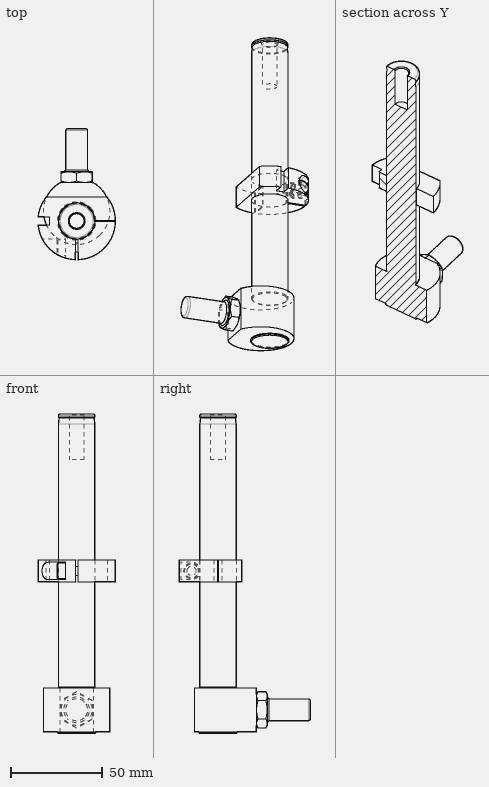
import cadquery as cq
import math

total_height = 174.9
post_dia = 20.0
post_radius = post_dia / 2
tip_rounding = 1.0
lip_depth = 1.6
neck_dia = 19.3
neck_depth = 2.3
neck_end_depth = 5.4
foot_chamfer = 0.5
bore_dia = 8.0
bore_mouth_dia = 9.2
bore_depth = 25.0

head_radius = 18.2
head_center_y = 5.3
head_height = 24.0
head_flat_y = 21.0
collet_dia = 21.0
collet_height = 1.0
collet_chamfer = 0.5

stud_dia = 12.0
stud_end_y = 50.5
stud_rounding = 1.0
hex_across_flats = 17.3
hex_thickness = 6.0
hex_chamfer_depth = 1.5
hex_chamfer_angle = 30.0
stud_flare = 1.0

collar_radius = 21.25
collar_height = 12.0
collar_bottom_z = 83.0
collar_flat_y = 13.0
clamp_slot_width = 1.5
split_width = 0.5
hinge_slot_width = 4.4
hinge_slot_end_x = -14.8

screw_y = -14.5
screw_dia = 5.0
screw_head_dia = 8.5
screw_head_length = 4.5
screw_head_chamfer = 0.5
screw_seat_x = -6.2
pocket_width = 9.5
screw_tip_x = 8.0

head_bottom_z = collet_height
head_top_z = head_bottom_z + head_height
stud_z = head_bottom_z + head_height / 2
screw_z = collar_bottom_z + collar_height / 2


def turned_along_y(profile):
    """Solid of revolution on the stud axis from (radius, y) points."""
    turned = cq.Workplane("XY").polyline(profile).close().revolve(360, (0, 0), (0, 1))
    return turned.translate((0, 0, stud_z))


def cylinder_along_x(diameter, start_x, end_x):
    """Solid cylinder on the clamp screw axis."""
    return (
        cq.Workplane("YZ", origin=(start_x, screw_y, screw_z))
        .circle(diameter / 2)
        .extrude(end_x - start_x)
    )


def make_post():
    """Turned post with collet end, foot relief, neck, rounded lip and tip bore."""
    collet_radius = collet_dia / 2
    neck_radius = neck_dia / 2
    bore_radius = bore_dia / 2
    mouth_radius = bore_mouth_dia / 2
    bore_chamfer = mouth_radius - bore_radius
    bore_bottom_z = total_height - bore_depth
    profile = [
        (0, 0),
        (collet_radius - collet_chamfer, 0),
        (collet_radius, collet_chamfer),
        (collet_radius, head_bottom_z),
        (post_radius - foot_chamfer, head_bottom_z),
        (post_radius - foot_chamfer, head_top_z),
        (post_radius, head_top_z + foot_chamfer),
        (post_radius, total_height - neck_end_depth),
        (neck_radius, total_height - neck_depth),
        (post_radius, total_height - lip_depth),
        (post_radius, total_height),
        (mouth_radius, total_height),
        (bore_radius, total_height - bore_chamfer),
        (bore_radius, bore_bottom_z),
        (0, bore_bottom_z),
    ]
    post = cq.Workplane("XZ").polyline(profile).close().revolve(360, (0, 0), (0, 1))
    tip_edge = cq.selectors.RadiusNthSelector(-1)
    return post.faces(">Z").edges(tip_edge).fillet(tip_rounding)


def make_head():
    """Eccentric head, cut flat where the hexagon sits."""
    flat_half_width = math.sqrt(head_radius**2 - (head_flat_y - head_center_y) ** 2)
    return (
        cq.Workplane("XY", origin=(0, 0, head_bottom_z))
        .moveTo(-flat_half_width, head_flat_y)
        .threePointArc((0, head_center_y - head_radius), (flat_half_width, head_flat_y))
        .close()
        .extrude(head_height)
    )


def make_stud():
    """Hexagon with corners up and down, flare and round-ended stud."""
    hex_end_y = head_flat_y + hex_thickness
    corner_radius = hex_across_flats / math.sqrt(3)
    hexagon = (
        cq.Workplane("XZ", origin=(0, head_flat_y, stud_z))
        .transformed(rotate=(0, 0, 90))
        .polygon(6, 2 * corner_radius)
        .extrude(-hex_thickness)
    )
    end_radius = corner_radius - hex_chamfer_depth
    chamfer_length = hex_chamfer_depth * math.tan(math.radians(hex_chamfer_angle))
    blank = turned_along_y([
        (0, head_flat_y),
        (end_radius, head_flat_y),
        (corner_radius, head_flat_y + chamfer_length),
        (corner_radius, hex_end_y - chamfer_length),
        (end_radius, hex_end_y),
        (0, hex_end_y),
    ])
    stud_radius = stud_dia / 2
    stud = turned_along_y([
        (0, hex_end_y),
        (stud_radius + stud_flare, hex_end_y),
        (stud_radius, hex_end_y + stud_flare),
        (stud_radius, stud_end_y),
        (0, stud_end_y),
    ])
    stud = stud.faces(">Y").edges().fillet(stud_rounding)
    return hexagon.intersect(blank).union(stud)


def make_collar():
    """Split ring with flat, three slots, an open screw pocket and its screw."""
    flat_half_width = math.sqrt(collar_radius**2 - collar_flat_y**2)
    ring = (
        cq.Workplane("XY", origin=(0, 0, collar_bottom_z))
        .moveTo(-flat_half_width, collar_flat_y)
        .threePointArc((0, -collar_radius), (flat_half_width, collar_flat_y))
        .close()
        .extrude(collar_height)
    )
    bore = cq.Workplane("XY", origin=(0, 0, collar_bottom_z)).circle(post_radius).extrude(collar_height)

    def slot(start_x, end_x, start_y, end_y):
        return (
            cq.Workplane("XY", origin=((start_x + end_x) / 2, (start_y + end_y) / 2, collar_bottom_z))
            .rect(end_x - start_x, end_y - start_y)
            .extrude(collar_height)
        )

    clamp_slot = slot(-clamp_slot_width / 2, clamp_slot_width / 2, -collar_radius, 0)
    split = slot(0, collar_radius, -split_width / 2, split_width / 2)
    hinge_slot = slot(-collar_radius, hinge_slot_end_x, -hinge_slot_width / 2, hinge_slot_width / 2)

    pocket_length = screw_seat_x + collar_radius
    pocket_round = cylinder_along_x(pocket_width, -collar_radius, screw_seat_x)
    pocket_opening = (
        cq.Workplane("XY", origin=(screw_seat_x, screw_y, screw_z))
        .box(pocket_length, collar_radius, pocket_width, centered=(False, False, True))
        .translate((-pocket_length, -collar_radius, 0))
    )

    screw_head = cylinder_along_x(screw_head_dia, screw_seat_x - screw_head_length, screw_seat_x)
    screw_head = screw_head.faces("<X").chamfer(screw_head_chamfer)
    shank = cylinder_along_x(screw_dia, screw_seat_x, screw_tip_x)

    collar = ring
    for cutter in (bore, clamp_slot, split, hinge_slot, pocket_round, pocket_opening):
        collar = collar.cut(cutter)
    return collar.union(screw_head).union(shank)


rod = make_post().union(make_head()).union(make_stud())
clamp_collar = make_collar()

result = cq.Compound.makeCompound([rod.val(), clamp_collar.val()])